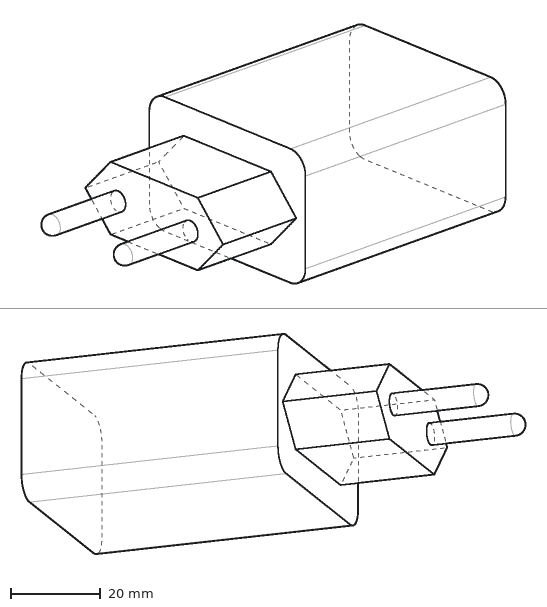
import cadquery as cq

body_width = 51.01
body_height = 32.35
body_length = 61.0
body_corner_radius = 5.0

nose_width = 45.0
nose_flat_width = 28.5
nose_height = 17.5
nose_length = 22.3

overall_length = 105.76
pin_radius = 2.5
pin_spacing = 23.6
pin_length = overall_length - body_length - nose_length

nose_face_y = -nose_length


def make_body():
    block = cq.Workplane("XY").box(body_width, body_length, body_height, centered=(True, False, True))
    return block.edges("|Y").fillet(body_corner_radius)


def make_nose():
    tip_x = nose_width / 2
    flat_x = nose_flat_width / 2
    top_z = nose_height / 2
    outline = [
        (-tip_x, 0),
        (-flat_x, top_z),
        (flat_x, top_z),
        (tip_x, 0),
        (flat_x, -top_z),
        (-flat_x, -top_z),
    ]
    return cq.Workplane("XZ").polyline(outline).close().extrude(nose_length)


def make_pin(center_x):
    shank_length = pin_length - pin_radius
    base = cq.Workplane("XZ", origin=(center_x, nose_face_y, 0))
    shank = base.circle(pin_radius).extrude(shank_length)
    tip_center = (center_x, nose_face_y - shank_length, 0)
    tip = cq.Workplane("XZ", origin=tip_center).sphere(pin_radius)
    return shank.union(tip)


result = make_body().union(make_nose())
for side in (-1, 1):
    result = result.union(make_pin(side * pin_spacing / 2))